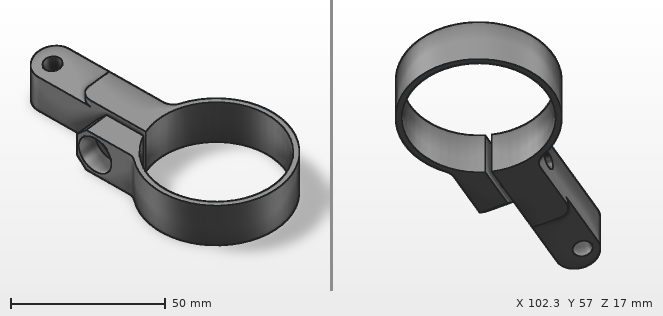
import cadquery as cq
import math

overall_length = 102.3
height = 17.0
ring_radius = 27.0
bore_radius = 25.0
arm_direction = 15.0

arm_half_width = 7.5
arm_length = (overall_length - ring_radius - arm_half_width) / math.cos(math.radians(arm_direction))
pivot_diameter = 6.5
pivot_offset = 0.7
neck_fillet = 5.0

tip_tilt = 10.0
tip_start = 52.8
shoulder_radius = 5.0

gap_width = 2.0
lug_thickness = 10.0
lug_reach = 43.1
lug_chamfer = 4.1
lug_top = -arm_half_width - gap_width
lug_bottom = lug_top - lug_thickness

bolt_x = -35.2
bolt_clearance = 8.4
bolt_hole = 6.2
head_diameter = 14.0
head_depth = 8.0


def block(x_min, x_max, y_min, y_max):
    """Full-height block between two corners in plan."""
    return cq.Workplane("XY").box(
        x_max - x_min, y_max - y_min, height, centered=False
    ).translate((x_min, y_min, 0))


def cross_cylinder(diameter, y_start, length):
    """Cylinder on the bolt axis, running toward +Y from y_start."""
    axis_start = cq.Vector(bolt_x, y_start, height / 2)
    return cq.Workplane(
        cq.Solid.makeCylinder(diameter / 2, length, axis_start, cq.Vector(0, 1, 0))
    )


def clamp_blank():
    """Ring, arm and lug with blended necks, split by the clamping gap."""
    arm = block(-arm_length, 0, -arm_half_width, arm_half_width)
    arm_end = cq.Workplane("XY").center(-arm_length, 0).circle(arm_half_width).extrude(height)
    lug = block(-lug_reach, 0, lug_bottom, lug_top)
    lug = lug.faces("<X").edges("|Y").chamfer(lug_chamfer)
    ring = cq.Workplane("XY").circle(ring_radius).extrude(height)
    body = ring.union(arm).union(arm_end).union(lug)
    for neck_y in (arm_half_width, lug_bottom):
        neck_x = -math.sqrt(ring_radius**2 - neck_y**2)
        neck = cq.selectors.NearestToPointSelector((neck_x, neck_y, height / 2))
        body = body.edges(neck).fillet(neck_fillet)
    bore = cq.Workplane("XY").circle(bore_radius).extrude(height)
    gap = block(-lug_reach, 0, lug_top, -arm_half_width)
    return body.cut(bore).cut(gap)


def top_tip_relief():
    """Wedge taken off the tip top, deepest at the -Y side of the arm."""
    depth = 2 * arm_half_width * math.tan(math.radians(tip_tilt))
    tip_end = -arm_length - arm_half_width
    wedge = (
        cq.Workplane("YZ", origin=(tip_end, 0, 0))
        .moveTo(arm_half_width, height)
        .lineTo(-arm_half_width, height)
        .lineTo(-arm_half_width, height - depth)
        .close()
        .extrude(arm_length + arm_half_width - tip_start + shoulder_radius)
    )
    shoulder = block(-tip_start, 0, -arm_half_width, arm_half_width)
    shoulder = shoulder.faces("<X").edges("<Y").fillet(shoulder_radius)
    return wedge.cut(shoulder)


def bottom_tip_relief():
    """The top relief turned half a revolution about the arm axis."""
    return top_tip_relief().rotate((0, 0, height / 2), (1, 0, height / 2), 180)


def pivot_hole():
    """Hole square to the sloped faces of the tip."""
    drill = cq.Workplane("XY").circle(pivot_diameter / 2).extrude(height, both=True)
    return drill.rotate((0, 0, 0), (1, 0, 0), tip_tilt).translate((-arm_length, pivot_offset, height / 2))


def bolt_cutter():
    """Head recess and clearance hole in the lug, smaller hole through the arm."""
    head = cross_cylinder(head_diameter, lug_bottom, head_depth)
    clearance = cross_cylinder(bolt_clearance, lug_bottom, lug_thickness)
    arm_hole = cross_cylinder(bolt_hole, -arm_half_width, 2 * arm_half_width)
    return head.union(clearance).union(arm_hole)


clamp = clamp_blank()
for cutter in (top_tip_relief(), bottom_tip_relief(), pivot_hole(), bolt_cutter()):
    clamp = clamp.cut(cutter)
result = clamp.rotate((0, 0, 0), (0, 0, 1), arm_direction)